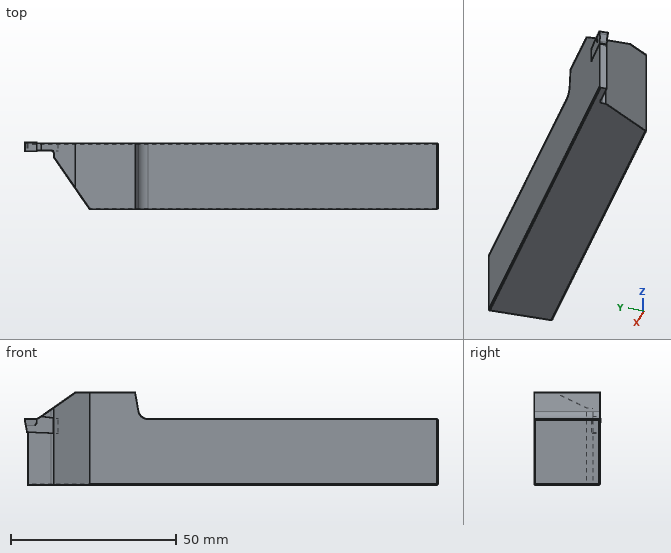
import cadquery as cq
import math

total_length = 125.0
holder_width = 20.0
shank_height = 20.0
head_height = 28.0
edge_chamfer = 0.4

ramp_top_x = 15.2
ramp_angle = math.radians(35)
head_rear_x = 33.4
rear_lean_angle = math.radians(10)
rear_fillet = 2.9

blade_front_x = 0.9
blade_thickness = 2.2
shoulder_x = 8.8
shoulder_depth = 4.2
shoulder_fillet = 0.9
clearance_gap = 0.1
flank_end_x = 19.6

insert_bottom = 16.0
seat_bottom_back = 15.6
insert_seat_top = 20.8
seat_top_back = 20.1
insert_back_x = 10.0
tip_top = 20.0
tip_land = 0.8
tip_length = 3.6
relief_offset = 0.5
foot_height = 0.8
tip_overhang = 0.2
tip_rim_bottom = 18.1
tip_rim_end_x = 3.1


def ramp_z(x):
    """Height of the sloping front of the head at x."""
    return head_height - (ramp_top_x - x) * math.tan(ramp_angle)


def ramp_x(z):
    """Position along x where the sloping front reaches height z."""
    return ramp_top_x - (head_height - z) / math.tan(ramp_angle)


def extrude_side(points, y_back, thickness):
    """Extrude an XZ outline from y_back toward -Y."""
    return cq.Workplane("XZ", origin=(0, y_back, 0)).polyline(points).close().extrude(thickness)


def make_side_body():
    """Side outline of shank and head, with the fillet behind the head."""
    rear_foot_x = head_rear_x + (head_height - shank_height) * math.tan(rear_lean_angle)
    body = extrude_side(
        [
            (blade_front_x, 0),
            (total_length, 0),
            (total_length, shank_height),
            (rear_foot_x, shank_height),
            (head_rear_x, head_height),
            (ramp_top_x, head_height),
            (blade_front_x, ramp_z(blade_front_x)),
        ],
        0,
        holder_width,
    )
    corner = cq.selectors.NearestToPointSelector((rear_foot_x, -holder_width / 2, shank_height))
    body = body.edges("|Y").edges(corner).fillet(rear_fillet)
    body = body.faces(">X").chamfer(edge_chamfer)
    return body.faces("<Z").edges("|X").chamfer(edge_chamfer)


def make_plan_body():
    """Plan outline: thin blade, filleted shoulder and angled flank."""
    plan = (
        cq.Workplane("XY")
        .polyline(
            [
                (blade_front_x, 0),
                (total_length, 0),
                (total_length, -holder_width),
                (flank_end_x, -holder_width),
                (shoulder_x, -shoulder_depth),
                (shoulder_x, -blade_thickness),
                (blade_front_x, -blade_thickness),
            ]
        )
        .close()
        .extrude(head_height)
    )
    corner = cq.selectors.NearestToPointSelector((shoulder_x, -blade_thickness, head_height / 2))
    return plan.edges("|Z").edges(corner).fillet(shoulder_fillet)


def make_insert_pocket():
    """Seat through the blade that also clears the shoulder fillet beside the insert."""
    seat_outline = [
        (0, insert_bottom),
        (blade_front_x, insert_bottom),
        (insert_back_x, seat_bottom_back),
        (insert_back_x, seat_top_back),
        (ramp_x(insert_seat_top), insert_seat_top),
        (0, insert_seat_top),
    ]
    seat = extrude_side(seat_outline, 0, blade_thickness)
    fillet_clearance = extrude_side(seat_outline, -blade_thickness, shoulder_fillet)
    open_space = cq.Workplane("XY").box(
        shoulder_x - clearance_gap, holder_width, head_height, centered=False
    ).translate((0, -holder_width, 0))
    return seat.union(fillet_clearance.intersect(open_space))


def make_holder():
    return make_side_body().intersect(make_plan_body()).cut(make_insert_pocket())


def make_insert_body():
    """Insert with a relieved front edge and a short foot under it."""
    return extrude_side(
        [
            (0, tip_top),
            (0, tip_top - tip_land),
            (relief_offset, insert_bottom + foot_height),
            (relief_offset, insert_bottom),
            (blade_front_x, insert_bottom),
            (insert_back_x, seat_bottom_back),
            (insert_back_x, seat_top_back),
            (ramp_x(insert_seat_top), insert_seat_top),
            (tip_length, tip_top),
        ],
        0,
        blade_thickness,
    )


def make_insert_tip():
    """Wide cutting tip whose sides taper down to the insert body."""
    relief_slope = relief_offset / (tip_top - tip_land - insert_bottom - foot_height)
    rim_front_x = relief_slope * (tip_top - tip_land - tip_rim_bottom)
    side = extrude_side(
        [
            (0, tip_top),
            (0, tip_top - tip_land),
            (rim_front_x, tip_rim_bottom),
            (tip_rim_end_x, tip_rim_bottom),
            (tip_length, tip_rim_bottom + tip_land),
            (tip_length, tip_top),
        ],
        tip_overhang,
        blade_thickness + 2 * tip_overhang,
    )
    taper = (
        cq.Workplane("YZ")
        .polyline(
            [
                (0, tip_rim_bottom),
                (tip_overhang, tip_top),
                (-blade_thickness - tip_overhang, tip_top),
                (-blade_thickness, tip_rim_bottom),
            ]
        )
        .close()
        .extrude(tip_length)
    )
    return side.intersect(taper)


holder = make_holder()
insert = make_insert_body().union(make_insert_tip())

result = cq.Compound.makeCompound([holder.val(), insert.val()])